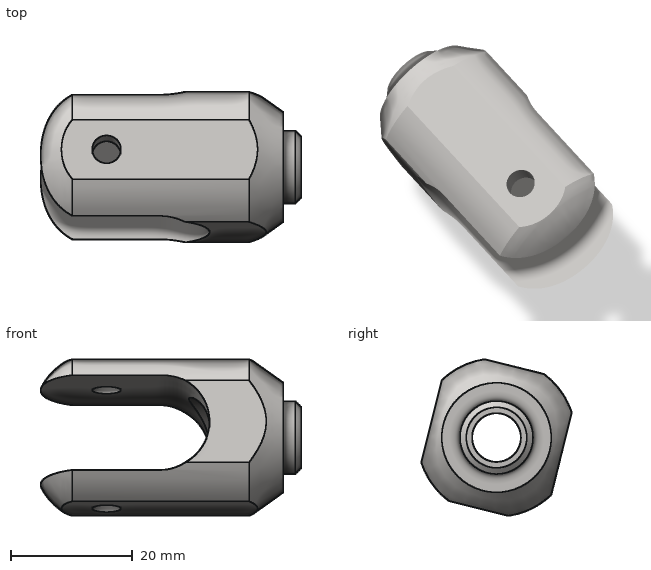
import cadquery as cq

total_length = 42.8
body_radius = 13.0
width_across_sides = 22.0
height_across_cheeks = 24.0
roll_angle = -14.0

tip_length = 5.22
tip_mid_x = 3.42
tip_mid_radius = height_across_cheeks / 2

taper_start = 34.2
shoulder_x = 39.85
shoulder_radius = 9.0
stub_radius = 6.0
stub_chamfer = 1.03

slot_radius = 8.0
slot_end_x = 27.75

pin_x = 10.83
pin_diameter = 4.7
bore_radius = 4.0
counterbore_radius = 6.55
counterbore_floor_x = 35.0
counterbore_fillet = 1.6


def make_body():
    """Turned profile trimmed by four flats."""
    turned = (
        cq.Workplane("XY")
        .lineTo(0, slot_radius)
        .threePointArc((tip_mid_x, tip_mid_radius), (tip_length, body_radius))
        .lineTo(taper_start, body_radius)
        .lineTo(shoulder_x, shoulder_radius)
        .lineTo(shoulder_x, stub_radius)
        .lineTo(total_length - stub_chamfer, stub_radius)
        .lineTo(total_length, stub_radius - stub_chamfer)
        .lineTo(total_length, 0)
        .close()
        .revolve(360, (0, 0, 0), (1, 0, 0))
    )
    flats = cq.Workplane("XY").box(
        total_length, width_across_sides, height_across_cheeks, centered=(False, True, True)
    )
    return turned.intersect(flats)


def make_slot():
    """Round-ended slot running across the body between the two cheeks."""
    center_x = slot_end_x - slot_radius
    return (
        cq.Workplane("XZ")
        .moveTo(0, slot_radius)
        .lineTo(center_x, slot_radius)
        .threePointArc((slot_end_x, 0), (center_x, -slot_radius))
        .lineTo(0, -slot_radius)
        .close()
        .extrude(width_across_sides, both=True)
    )


def make_pin_hole():
    """Cross hole through both cheeks."""
    return (
        cq.Workplane("XY")
        .center(pin_x, 0)
        .circle(pin_diameter / 2)
        .extrude(height_across_cheeks, both=True)
    )


def make_axial_bore():
    """Through bore with a counterbore, rounded at its floor, open to the slot."""
    slot_center_x = slot_end_x - slot_radius
    counterbore = (
        cq.Workplane("YZ", origin=(slot_center_x, 0, 0))
        .circle(counterbore_radius)
        .extrude(counterbore_floor_x - slot_center_x)
        .faces(">X")
        .edges()
        .fillet(counterbore_fillet)
    )
    bore = cq.Workplane("YZ").circle(bore_radius).extrude(total_length)
    return counterbore.union(bore)


fork = make_body().cut(make_slot()).cut(make_pin_hole()).cut(make_axial_bore())
result = fork.rotate((0, 0, 0), (1, 0, 0), roll_angle)